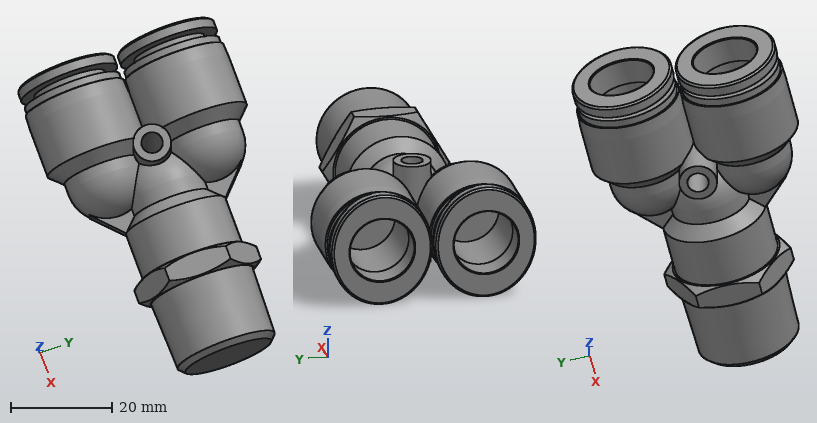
import cadquery as cq
import math

port_offset = 10.5
body_diameter = 21.0
arm_diameter = 15.8
body_radius = body_diameter / 2
arm_radius = arm_diameter / 2
shoulder = body_radius - arm_radius

bore_diameter = 13.0
bore_chamfer = 0.2
collar_width_y = 20.25
collar_height_z = 22.99
collar_thickness = 2.25
collar_chamfer = 0.4
neck_diameter = 14.8
collar_end = 5.4

lip_start = 3.85
lip_end = collar_end
lip_diameter = 20.0
taper_end = 8.2
taper_diameter = 20.75
port_body_end = 18.3
port_dome_center = 23.2
bore_end = port_body_end

trunk_dome_center = 29.05
trunk_start = 34.65
trunk_end = 44.65

web_thickness = 3.0
eyelet_x = 21.05
eyelet_diameter = 7.5
eyelet_hole_diameter = 4.2

hex_across_flats = 22.3
hex_length = 5.0
hex_face_diameter = 21.8
hex_chamfer_angle = 30.0
thread_end = 64.7
thread_taper = 1 / 16
thread_large_diameter = 21.4
thread_chamfer = 1.2


def revolve_about_x(profile):
    """Turn a closed XY profile around the X axis."""
    return profile.close().revolve(360, (0, 0, 0), (1, 0, 0))


def cylinder_x(start, end, diameter):
    return cq.Workplane("YZ", origin=(start, 0, 0)).circle(diameter / 2).extrude(end - start)


def make_port():
    """One tube port on the X axis, with the domed end that runs into the trunk."""
    return revolve_about_x(
        cq.Workplane("XY")
        .moveTo(lip_start, 0)
        .lineTo(lip_start, lip_diameter / 2)
        .lineTo(lip_end, lip_diameter / 2)
        .lineTo(lip_end, taper_diameter / 2)
        .lineTo(taper_end, body_radius)
        .lineTo(port_body_end, body_radius)
        .lineTo(port_body_end + shoulder, arm_radius)
        .lineTo(port_dome_center, arm_radius)
        .radiusArc((port_dome_center + arm_radius, 0), arm_radius)
    )


def make_trunk():
    return revolve_about_x(
        cq.Workplane("XY")
        .moveTo(trunk_dome_center - arm_radius, 0)
        .radiusArc((trunk_dome_center, arm_radius), arm_radius)
        .lineTo(trunk_start - shoulder, arm_radius)
        .lineTo(trunk_start, body_radius)
        .lineTo(trunk_end, body_radius)
        .lineTo(trunk_end, 0)
    )


def make_web():
    """Flat web whose slanted sides run from the port domes to the trunk."""
    reach = arm_radius * math.sqrt(0.5)
    dome_x = port_dome_center + reach
    dome_y = port_offset + reach
    return (
        cq.Workplane("XY")
        .polyline([
            (port_dome_center, -port_offset),
            (dome_x, -dome_y),
            (trunk_start, -body_radius),
            (trunk_start, body_radius),
            (dome_x, dome_y),
            (port_dome_center, port_offset),
        ])
        .close()
        .extrude(web_thickness / 2, both=True)
    )


def make_housing():
    housing = make_trunk().union(make_web())
    for side in (-1, 1):
        housing = housing.union(make_port().translate((0, side * port_offset, 0)))
    eyelet = cq.Workplane("XY").center(eyelet_x, 0)
    housing = housing.union(eyelet.circle(eyelet_diameter / 2).extrude(body_radius, both=True))
    housing = housing.cut(eyelet.circle(eyelet_hole_diameter / 2).extrude(body_radius, both=True))
    for side in (-1, 1):
        seat = cylinder_x(lip_start, collar_end, neck_diameter)
        bore = cylinder_x(lip_start, bore_end, bore_diameter)
        housing = housing.cut(seat.union(bore).translate((0, side * port_offset, 0)))
    return housing


def make_collar():
    """Release collar on the X axis: an oval flange on a tubular neck."""
    flange = (
        cq.Workplane("YZ")
        .ellipse(collar_width_y / 2, collar_height_z / 2)
        .extrude(collar_thickness)
        .faces("<X")
        .chamfer(collar_chamfer)
    )
    collar = flange.union(cylinder_x(0, collar_end, neck_diameter))
    collar = collar.cut(cylinder_x(0, collar_end, bore_diameter))
    return collar.faces("<X").edges("%CIRCLE").chamfer(bore_chamfer)


def make_stud():
    hex_start = trunk_end
    hex_end = hex_start + hex_length
    corner_diameter = hex_across_flats / math.cos(math.radians(30))
    chamfer_length = (corner_diameter - hex_face_diameter) / 2 * math.tan(math.radians(hex_chamfer_angle))
    hexagon = cq.Workplane("YZ", origin=(hex_start, 0, 0)).polygon(6, corner_diameter).extrude(hex_length)
    chamfer_envelope = revolve_about_x(
        cq.Workplane("XY")
        .moveTo(hex_start, 0)
        .lineTo(hex_start, hex_face_diameter / 2)
        .lineTo(hex_start + chamfer_length, corner_diameter / 2)
        .lineTo(hex_end - chamfer_length, corner_diameter / 2)
        .lineTo(hex_end, hex_face_diameter / 2)
        .lineTo(hex_end, 0)
    )
    chamfer_start = thread_end - thread_chamfer
    thread_tip_radius = (thread_large_diameter - (chamfer_start - hex_end) * thread_taper) / 2
    thread = revolve_about_x(
        cq.Workplane("XY")
        .moveTo(hex_end, 0)
        .lineTo(hex_end, thread_large_diameter / 2)
        .lineTo(chamfer_start, thread_tip_radius)
        .lineTo(thread_end, thread_tip_radius - thread_chamfer)
        .lineTo(thread_end, 0)
    )
    return hexagon.intersect(chamfer_envelope).union(thread)


housing = make_housing()
stud = make_stud()
collars = [make_collar().translate((0, side * port_offset, 0)) for side in (-1, 1)]

result = cq.Compound.makeCompound([
    housing.val(),
    stud.val(),
    *[collar.val() for collar in collars],
])